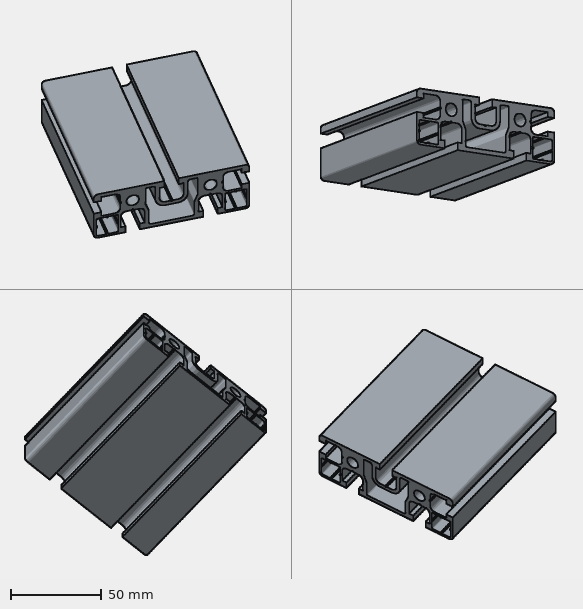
import cadquery as cq

length = 100.0
width = 90.0
height = 32.0
outer_radius = 2.5

slot_mouth = 8.3
slot_cavity = 13.8
slot_depth = 15.3
lip_depth = 4.4
slot_radius = 3.2
slot_offset = width / 4
side_slot_z = height - 9.5

mark_width = 1.2
mark_depth = 0.6

channel_diameter = 7.3
channel_z = side_slot_z

wall = 2.5
thin_wall = 1.5
chamber_radius = 1.0
u_wall_radius = slot_radius + wall
hollow_base_radius = 1.2
hollow_side_radius = 1.0
hollow_wall_radius = 1.5
hollow_top_y = 15.1
bend_upper_z = height - 14.5
bend_lower_z = height - 19.5
bend_radius = 2.0

edge_reach = 0.1


def bar(y_min, y_max, z_min, z_max):
    """Full-length rectangular bar between two Y and two Z positions."""
    return (
        cq.Workplane("YZ", origin=(-length / 2, 0, 0))
        .center((y_min + y_max) / 2, (z_min + z_max) / 2)
        .rect(y_max - y_min, z_max - z_min)
        .extrude(length)
    )


def prism(points):
    """Full-length prism with a polygonal (Y, Z) section."""
    return cq.Workplane("YZ", origin=(-length / 2, 0, 0)).polyline(points).close().extrude(length)


def both_sides(shape):
    """The shape together with its mirror image across the XZ plane."""
    return shape.union(shape.mirror("XZ"))


def lengthwise_edges(y_limit, z):
    """Selector for the edges along X at height z, no further than y_limit from the middle."""
    near_box = cq.selectors.BoxSelector(
        (-length, -y_limit - edge_reach, z - edge_reach),
        (length, y_limit + edge_reach, z + edge_reach),
    )
    return cq.StringSyntaxSelector("|X") & near_box


def t_slot(y, z, angle):
    """T-slot void with its mouth at (y, z), opening towards +Z before it is turned by angle about X."""
    cavity = bar(-slot_cavity / 2, slot_cavity / 2, -slot_depth, -lip_depth)
    cavity = cavity.edges("|X and <Z").fillet(slot_radius)
    mouth = bar(-slot_mouth / 2, slot_mouth / 2, -lip_depth, 0)
    groove = prism(
        [
            (-mark_width / 2, -slot_depth),
            (mark_width / 2, -slot_depth),
            (0, -slot_depth - mark_depth),
        ]
    )
    void = cavity.union(mouth).union(groove)
    return void.rotate((0, 0, 0), (1, 0, 0), angle).translate((0, y, z))


def side_slot():
    """T-slot void in the +Y face."""
    return t_slot(width / 2, side_slot_z, -90)


def corner_chamber():
    """Square void in the lower +Y corner, with a V ridge left along the middle of each wall."""
    size = side_slot_z - slot_cavity / 2 - 2 * thin_wall
    half = size / 2
    void = bar(-half, half, -half, half).edges("|X").fillet(chamber_radius)
    ridge = prism([(-mark_width / 2, -half), (mark_width / 2, -half), (0, mark_depth - half)])
    for turn in range(4):
        void = void.cut(ridge.rotate((0, 0, 0), (1, 0, 0), 90 * turn))
    centre = thin_wall + half
    return void.translate((0, width / 2 - centre, centre))


def central_hollow():
    """Void around the U-shaped wall of the top slot, narrower at its top than at its base."""
    top_z = height - wall
    base_y = slot_offset - slot_cavity / 2 - wall
    void = prism(
        [
            (-base_y, wall),
            (base_y, wall),
            (base_y, bend_lower_z),
            (hollow_top_y, bend_upper_z),
            (hollow_top_y, top_z),
            (-hollow_top_y, top_z),
            (-hollow_top_y, bend_upper_z),
            (-base_y, bend_lower_z),
        ]
    )
    void = void.edges("|X and <Z").fillet(hollow_base_radius)
    void = void.edges("|X and >Z").fillet(hollow_side_radius)
    for bend_z in (bend_upper_z, bend_lower_z):
        void = void.edges(lengthwise_edges(width, bend_z)).fillet(bend_radius)

    u_half = slot_cavity / 2 + wall
    u_wall = bar(-u_half, u_half, height - slot_depth - wall, height)
    u_wall = u_wall.edges("|X and <Z").fillet(u_wall_radius)
    void = void.cut(u_wall)
    return void.edges(lengthwise_edges(u_half, top_z)).fillet(hollow_wall_radius)


def screw_channel():
    """Round through channel between the slots on the +Y side."""
    return (
        cq.Workplane("YZ", origin=(-length / 2, slot_offset, channel_z))
        .circle(channel_diameter / 2)
        .extrude(length)
    )


result = bar(-width / 2, width / 2, 0, height).edges("|X").fillet(outer_radius)
result = result.cut(central_hollow())
result = result.cut(t_slot(0, height, 0))
result = result.cut(both_sides(t_slot(slot_offset, 0, 180)))
result = result.cut(both_sides(side_slot()))
result = result.cut(both_sides(corner_chamber()))
result = result.cut(both_sides(screw_channel()))